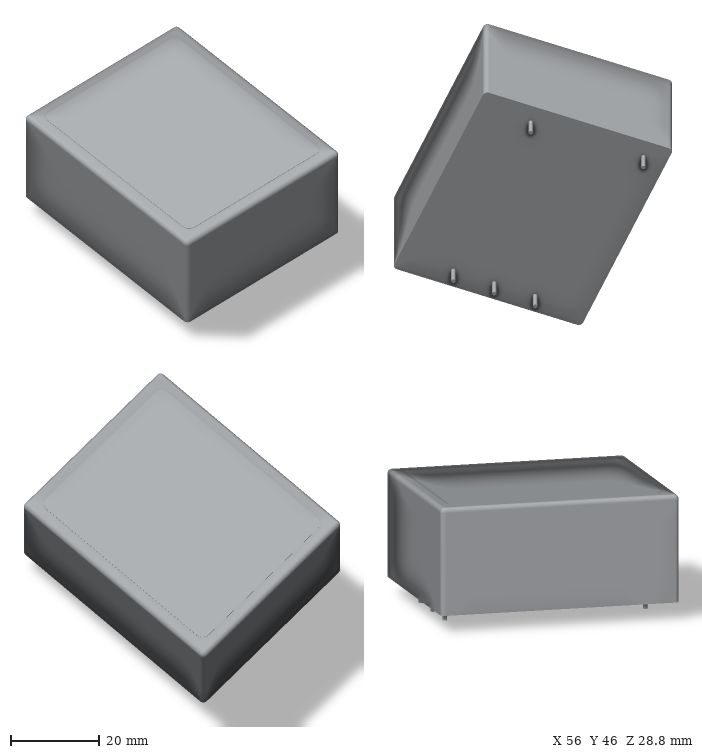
import cadquery as cq

case_length = 56.0
case_width = 46.0
total_height = 28.8

edge_radius = 1.05
label_margin = 2.95
label_corner_radius = 2.0
label_thickness = 0.1

pin_diameter = 1.0
pin_length = 3.8
pin_row_x = 23.5
output_pitch = 9.95
input_outer_y = -17.5

case_height = total_height - pin_length - label_thickness
input_pin_ys = [input_outer_y, output_pitch]
output_pin_ys = [-output_pitch, 0, output_pitch]
pin_positions = [(-pin_row_x, y) for y in input_pin_ys] + [(pin_row_x, y) for y in output_pin_ys]


def make_case():
    """Block standing on Z = 0, rounded on every edge except around its flat bottom."""
    block = cq.Workplane("XY").box(case_length, case_width, case_height, centered=(True, True, False))
    return block.edges("|Z or >Z").fillet(edge_radius)


def make_label():
    """Thin plate with rounded corners, lying on top of the case."""
    label_length = case_length - 2 * label_margin
    label_width = case_width - 2 * label_margin
    plate = (
        cq.Workplane("XY")
        .workplane(offset=case_height)
        .rect(label_length, label_width)
        .extrude(label_thickness)
    )
    return plate.edges("|Z").fillet(label_corner_radius)


def make_pin(x, y):
    """Round pin hanging down from the bottom of the case."""
    return cq.Workplane("XY").center(x, y).circle(pin_diameter / 2).extrude(-pin_length)


case = make_case()
label = make_label()
pins = [make_pin(x, y) for x, y in pin_positions]

result = cq.Compound.makeCompound([case.val(), label.val(), *[pin.val() for pin in pins]])